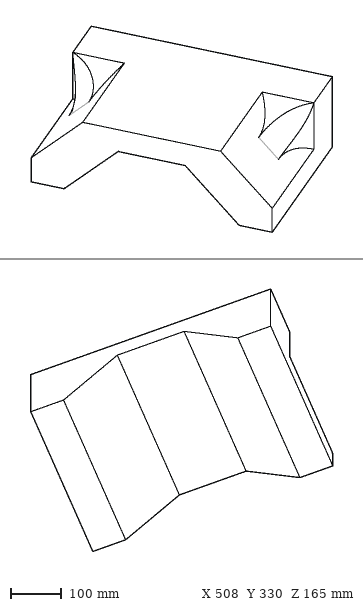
import cadquery as cq

length = 508.0
depth = 330.0
height = 165.0
half_length = length / 2

foot_width = 69.5
arch_height = 114.0
arch_half_bottom = half_length - foot_width
arch_half_top = arch_half_bottom - arch_height

bevel = 108.5
bevel_length = 228.5

horn_length = 107.0
horn_tip_width = 41.5
flank_drop = (bevel - horn_tip_width) / 2
ridge_drop = bevel / 2**0.5
horn_tip = bevel_length - horn_length


def tangent_radius(run, drop):
    """Radius of an arc that covers run and drop and ends parallel to the run."""
    return (run**2 + drop**2) / (2 * drop)


def concave_bar(drop):
    """Bar along X with a concave top that falls by drop to a tangent end at height zero."""
    radius = tangent_radius(horn_length, drop)
    return (
        cq.Workplane("YZ")
        .moveTo(bevel_length, -bevel)
        .lineTo(bevel_length, drop)
        .radiusArc((horn_tip, 0), radius)
        .lineTo(horn_tip, -bevel)
        .close()
        .extrude(bevel, both=True)
    )


def make_horn():
    """Horn at the +X top corner: two square flanks and a diagonal ridge."""
    top_flank = concave_bar(flank_drop).translate(
        (half_length, 0, height - flank_drop)
    )
    side_flank = (
        concave_bar(flank_drop)
        .rotate((0, 0, 0), (0, 1, 0), 90)
        .translate((half_length - flank_drop, 0, height))
    )
    ridge = (
        concave_bar(ridge_drop)
        .rotate((0, 0, 0), (0, 1, 0), 45)
        .translate((half_length - bevel / 2, 0, height - bevel / 2))
    )
    return top_flank.intersect(side_flank).intersect(ridge)


body = cq.Workplane("XY").box(length, depth, height, centered=(True, False, False))

arch = (
    cq.Workplane("XZ")
    .polyline(
        [
            (-arch_half_bottom, 0),
            (-arch_half_top, arch_height),
            (arch_half_top, arch_height),
            (arch_half_bottom, 0),
        ]
    )
    .close()
    .extrude(-depth)
)

bevel_cut = (
    cq.Workplane("XZ")
    .polyline(
        [
            (half_length, height),
            (half_length - bevel, height),
            (half_length, height - bevel),
        ]
    )
    .close()
    .extrude(-bevel_length)
)
corner_cut = bevel_cut.cut(make_horn())

result = body.cut(arch).cut(corner_cut).cut(corner_cut.mirror("YZ"))